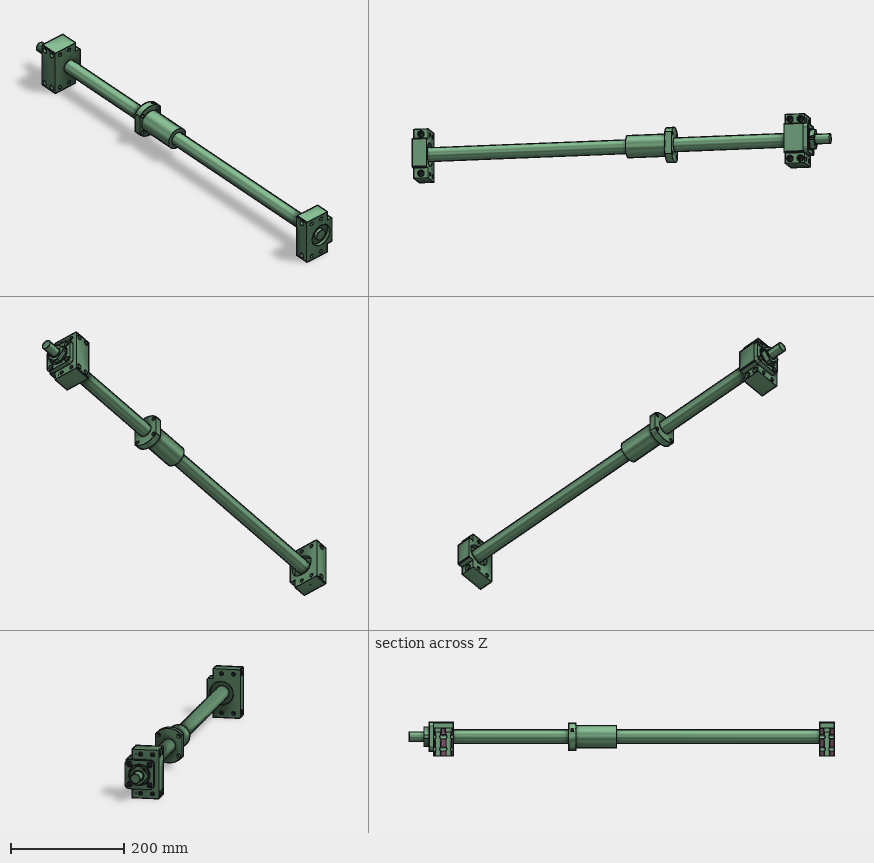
import cadquery as cq
import math


screw_length = 751.0
locknut_x = 26.0
locknut_length = 9.0
cap_x = locknut_x + locknut_length
cap_thickness = 8.0
fixed_block_x = cap_x + cap_thickness
fixed_block_length = 34.5
nut_x = 282.0
floating_block_length = 26.0
floating_block_x = screw_length - floating_block_length

rod_diameter = 25.0
journal_diameter = 20.0
drive_end_diameter = 17.0
rod_start_x = fixed_block_x + fixed_block_length / 2

body_width = 52.0
block_width = 88.0
body_top_y = body_width / 2
block_height = 60.0
mount_face_y = body_top_y - block_height
wing_top_y = 15.0
block_edge_chamfer = 1.5
bolt_hole_z = 35.0
cross_hole_diameter = 6.6
cross_hole_pitch = 22.0
mount_hole_diameter = 9.0
mount_hole_offset = 7.5
mount_hole_pitch = 19.0
counterbore_diameter = 11.0
counterbore_depth = 7.0

bearing_diameter = 42.0
bearing_width = 12.0
bearing_x = floating_block_x + (floating_block_length - bearing_width) / 2

cap_corner_radius = 8.0
cap_bore_diameter = 37.0
cap_bore_mouth_diameter = 38.0
cap_screw_spacing = 36.0
cap_screw_hole_diameter = 5.0
cap_screw_head_diameter = 9.0
cap_screw_head_depth = 5.0

locknut_diameter = 34.5
locknut_flats = 28.5
locknut_slit_width = 1.5

nut_body_diameter = 40.0
nut_length = 85.0
nut_flange_diameter = 62.0
nut_flange_thickness = 13.0
nut_flange_width = 48.0
nut_hole_circle_diameter = 51.0
nut_hole_diameter = 6.6
nut_hole_angles = (45, 135, 225, 315)
oil_hole_diameter = 5.0
oil_hole_angle = 67.5
oil_hole_depth = 12.0


def cylinder(x, length, diameter, y=0.0, z=0.0):
    """Cylinder along X that starts at x."""
    start = cq.Vector(x, y, z)
    return cq.Workplane(cq.Solid.makeCylinder(diameter / 2, length, start, cq.Vector(1, 0, 0)))


def upright_cylinder(x, y, z, height, diameter):
    """Cylinder along Y that starts at y."""
    start = cq.Vector(x, y, z)
    return cq.Workplane(cq.Solid.makeCylinder(diameter / 2, height, start, cq.Vector(0, 1, 0)))


def box(x, length, y_low, y_high, width):
    """Box that starts at x and is centred on Z = 0."""
    block = cq.Workplane().box(length, y_high - y_low, width, centered=(False, False, True))
    return block.translate((x, y_low, 0))


def make_screw():
    drive_end = cylinder(0, locknut_x, drive_end_diameter)
    front_journal = cylinder(locknut_x, rod_start_x - locknut_x, journal_diameter)
    rod = cylinder(rod_start_x, bearing_x - rod_start_x, rod_diameter)
    rear_journal = cylinder(bearing_x, screw_length - bearing_x, journal_diameter)
    return drive_end.union(front_journal).union(rod).union(rear_journal)


def make_block(x, length, mount_hole_xs):
    """Stepped bearing block with its bolt holes, before it is bored for the screw."""
    body = box(x, length, mount_face_y, body_top_y, body_width)
    body = body.faces(">Y").edges("|X").chamfer(block_edge_chamfer)
    wings = box(x, length, mount_face_y, wing_top_y, block_width)
    wings = wings.faces("<Y").edges("|X").chamfer(block_edge_chamfer)
    block = body.union(wings)
    counterbore_y = wing_top_y - counterbore_depth
    for z in (-bolt_hole_z, bolt_hole_z):
        for y in (0, -cross_hole_pitch):
            block = block.cut(cylinder(x, length, cross_hole_diameter, y, z))
        for hole_x in mount_hole_xs:
            block = block.cut(upright_cylinder(hole_x, mount_face_y, z, block_height, mount_hole_diameter))
            block = block.cut(
                upright_cylinder(hole_x, counterbore_y, z, counterbore_depth, counterbore_diameter))
    return block


def make_fixed_block():
    first_hole_x = fixed_block_x + mount_hole_offset
    block = make_block(fixed_block_x, fixed_block_length, (first_hole_x, first_hole_x + mount_hole_pitch))
    block = block.cut(cylinder(fixed_block_x, fixed_block_length, journal_diameter))
    return block.cut(cylinder(rod_start_x, fixed_block_length, rod_diameter))


def make_floating_block():
    middle_x = floating_block_x + floating_block_length / 2
    block = make_block(floating_block_x, floating_block_length, (middle_x,))
    return block.cut(cylinder(floating_block_x, floating_block_length, bearing_diameter))


def make_bearing():
    ring = cylinder(bearing_x, bearing_width, bearing_diameter)
    return ring.cut(cylinder(bearing_x, bearing_width, journal_diameter))


def make_cap():
    cap = box(cap_x, cap_thickness, -body_width / 2, body_width / 2, body_width)
    cap = cap.edges("|X").fillet(cap_corner_radius)
    cap = cap.cut(cylinder(cap_x, cap_thickness, cap_bore_diameter))
    mouth_chamfer = (cap_bore_mouth_diameter - cap_bore_diameter) / 2
    mouth = cq.Solid.makeCone(cap_bore_mouth_diameter / 2, cap_bore_diameter / 2, mouth_chamfer,
                              cq.Vector(cap_x, 0, 0), cq.Vector(1, 0, 0))
    cap = cap.cut(cq.Workplane(mouth))
    screw_offsets = (-cap_screw_spacing / 2, cap_screw_spacing / 2)
    for y in screw_offsets:
        for z in screw_offsets:
            cap = cap.cut(cylinder(cap_x, cap_thickness, cap_screw_hole_diameter, y, z))
            cap = cap.cut(cylinder(cap_x, cap_screw_head_depth, cap_screw_head_diameter, y, z))
    return cap


def make_locknut():
    """Square nut standing on a corner, its corners rounded, slit through the +Y corner."""
    square = box(locknut_x, locknut_length, -locknut_flats / 2, locknut_flats / 2, locknut_flats)
    square = square.rotate((0, 0, 0), (1, 0, 0), 45)
    nut = square.intersect(cylinder(locknut_x, locknut_length, locknut_diameter))
    nut = nut.cut(cylinder(locknut_x, locknut_length, journal_diameter))
    return nut.cut(box(locknut_x, locknut_length, 0, locknut_diameter / 2, locknut_slit_width))


def make_oil_hole():
    """Radial hole from the rim of the nut flange towards the axis."""
    angle = math.radians(oil_hole_angle)
    outward = cq.Vector(0, math.cos(angle), math.sin(angle))
    flange_middle = cq.Vector(nut_x + nut_flange_thickness / 2, 0, 0)
    hole_bottom = flange_middle + outward * (nut_flange_diameter / 2 - oil_hole_depth)
    return cq.Workplane(cq.Solid.makeCylinder(oil_hole_diameter / 2, oil_hole_depth, hole_bottom, outward))


def make_nut():
    flange = cylinder(nut_x, nut_flange_thickness, nut_flange_diameter)
    half_width = nut_flange_width / 2
    flange = flange.intersect(
        box(nut_x, nut_flange_thickness, -half_width, half_width, nut_flange_diameter))
    nut = flange.union(cylinder(nut_x, nut_length, nut_body_diameter))
    for angle in nut_hole_angles:
        y = nut_hole_circle_diameter / 2 * math.cos(math.radians(angle))
        z = nut_hole_circle_diameter / 2 * math.sin(math.radians(angle))
        nut = nut.cut(cylinder(nut_x, nut_flange_thickness, nut_hole_diameter, y, z))
    nut = nut.cut(make_oil_hole())
    return nut.cut(cylinder(nut_x, nut_length, rod_diameter))


screw = make_screw()
fixed_block = make_fixed_block()
cap = make_cap()
locknut = make_locknut()
nut = make_nut()
floating_block = make_floating_block()
bearing = make_bearing()

result = cq.Compound.makeCompound([
    screw.val(),
    fixed_block.val(),
    cap.val(),
    locknut.val(),
    nut.val(),
    floating_block.val(),
    bearing.val(),
])